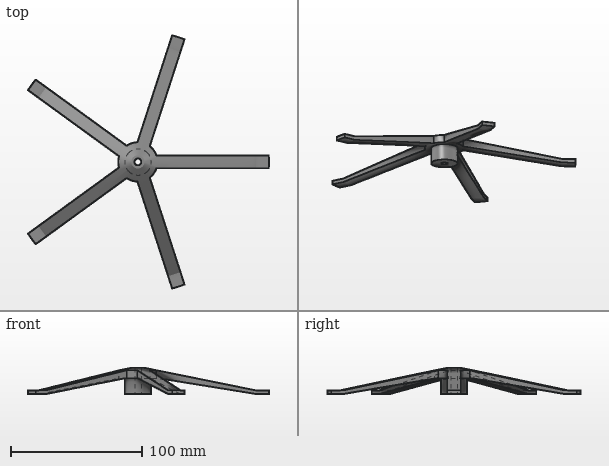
import cadquery as cq

arm_count = 5
arm_width = 10.0
tip_radius = 100.0
bend_radius = 90.0
foot_thickness = 2.9
total_height = 20.0
top_flat_radius = 5.0
hub_radius = 15.0
hub_underside = 12.2
boss_diameter = 20.0
bore_diameter = 5.0


def conical_shell():
    """Full round shell: flat crown, sloping skirt and flat outer foot."""
    profile = [
        (0, hub_underside),
        (hub_radius, hub_underside),
        (bend_radius, 0),
        (tip_radius, 0),
        (tip_radius, foot_thickness),
        (bend_radius, foot_thickness),
        (top_flat_radius, total_height),
        (0, total_height),
    ]
    return cq.Workplane("XZ").polyline(profile).close().revolve(360, (0, 0, 0), (0, 1, 0))


def star_column():
    """Upright column with the plan shape of the hub and its arms."""
    arm_blank_length = tip_radius + arm_width
    column = cq.Workplane("XY").circle(hub_radius).extrude(total_height)
    arm = cq.Workplane("XY").box(arm_blank_length, arm_width, total_height, centered=(False, True, False))
    for index in range(arm_count):
        column = column.union(arm.rotate((0, 0, 0), (0, 0, 1), index * 360 / arm_count))
    return column


spider = conical_shell().intersect(star_column())

boss = cq.Workplane("XY").circle(boss_diameter / 2).extrude(hub_underside)

bore = cq.Workplane("XY").circle(bore_diameter / 2).extrude(total_height)

result = spider.union(boss).cut(bore)